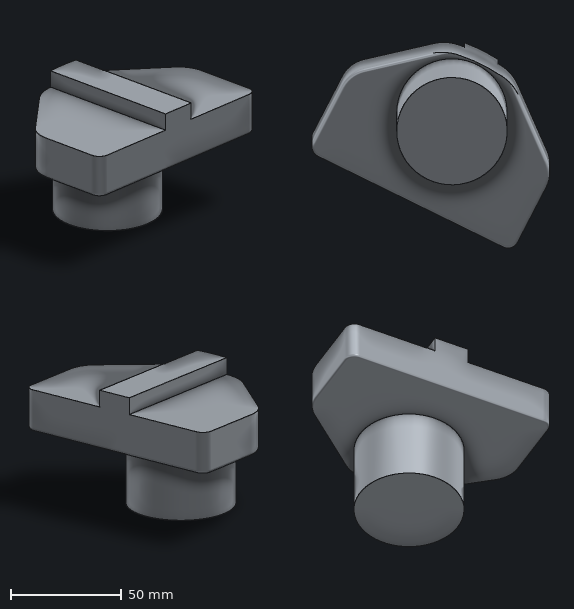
import cadquery as cq
import math

length = 72.0
width = 104.0
plate_thickness = 20.0
nose_radius = 81.1
nose_axis_y = 0.4
flank_angle = 50.0
flank_start_y = 33.7
flank_start_x = 15.6
back_corner_radius = 5.0
side_corner_radius = 15.0
nose_corner_radius = 20.0
bottom_edge_radius = 1.5

rib_width = 17.1
rib_height = 8.0

shank_diameter = 50.0
shank_length = 36.0
shank_x = 26.0
shank_y = 2.1

plate_top = shank_length + plate_thickness
total_height = plate_top + rib_height


def flank_nose_corner():
    """Where the flank line meets the nose arc, with Y measured from the nose axis."""
    angle = math.radians(flank_angle)
    dir_x = math.cos(angle)
    dir_y = math.sin(angle)
    from_centre_x = flank_start_x - nose_radius
    along = from_centre_x * dir_x + flank_start_y * dir_y
    offset_squared = from_centre_x**2 + flank_start_y**2 - nose_radius**2
    travel = -along - math.sqrt(along**2 - offset_squared)
    return flank_start_x + travel * dir_x, flank_start_y + travel * dir_y


nose_x, nose_y = flank_nose_corner()
nose_left_y = nose_axis_y + nose_y
nose_right_y = nose_axis_y - nose_y
side_y = width / 2


def flank_side_x(axis_to_side):
    """X where a flank line meets the side at this distance from the nose axis."""
    return flank_start_x + (axis_to_side - flank_start_y) / math.tan(math.radians(flank_angle))


left_side_x = flank_side_x(side_y - nose_axis_y)
right_side_x = flank_side_x(side_y + nose_axis_y)


def outline_prism(height):
    """Plate outline extruded up, with only the back and side corners rounded."""
    prism = (
        cq.Workplane("XY", origin=(0, 0, shank_length))
        .moveTo(nose_x, nose_left_y)
        .lineTo(left_side_x, side_y)
        .lineTo(length, side_y)
        .lineTo(length, -side_y)
        .lineTo(right_side_x, -side_y)
        .lineTo(nose_x, nose_right_y)
        .threePointArc((0, nose_axis_y), (nose_x, nose_left_y))
        .close()
        .extrude(height)
    )
    prism = prism.edges("|Z").edges(">X").fillet(back_corner_radius)
    side_corners = cq.selectors.BoxSelector(
        (left_side_x - 1, -width, 0), (right_side_x + 1, width, total_height)
    )
    return prism.edges("|Z").edges(side_corners).fillet(side_corner_radius)


def rounded_nose_prism(height):
    """Plate outline with every corner rounded."""
    return outline_prism(height).edges("|Z").edges("<X").fillet(nose_corner_radius)


def make_plate():
    """Plate whose bottom rounding follows all but the nose and fades out at its corners."""
    sharp_nose = outline_prism(plate_thickness)
    bottom_edges = sharp_nose.faces("<Z").edges().edges(
        cq.selectors.BoxSelector((nose_x, -width, 0), (length + 1, width, total_height))
    )
    return bottom_edges.fillet(bottom_edge_radius).intersect(rounded_nose_prism(plate_thickness))


def make_rib():
    """Rib over the full length, its end following the bowed nose."""
    strip = cq.Workplane("XY", origin=(0, 0, plate_top)).rect(2 * length, rib_width).extrude(rib_height)
    return strip.intersect(rounded_nose_prism(plate_thickness + rib_height))


def make_shank():
    return (
        cq.Workplane("XY")
        .center(shank_x, shank_y)
        .circle(shank_diameter / 2)
        .extrude(shank_length)
    )


result = make_plate().union(make_rib()).union(make_shank())